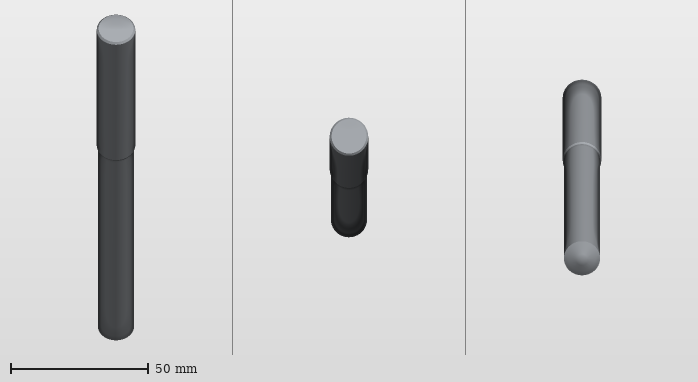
import cadquery as cq
import math

total_length = 176.0
shank_diameter = 14.0
cutter_diameter = 13.2
point_angle = 140.0

shank_length = 69.0
top_chamfer = 0.7
taper_height = 1.0
neck_length = 1.0

shank_radius = shank_diameter / 2
cutter_radius = cutter_diameter / 2
point_height = cutter_radius / math.tan(math.radians(point_angle / 2))
taper_bottom = total_length - shank_length
cutter_top = taper_bottom - neck_length


def revolve_about_z(profile):
    """Turn a closed (radius, height) outline into a solid of revolution about Z."""
    return cq.Workplane("XZ").polyline(profile).close().revolve(360, (0, 0, 0), (0, 1, 0))


def make_shank():
    """Clamping shank with a chamfered top, a lower taper and a short neck."""
    return revolve_about_z([
        (0, cutter_top),
        (cutter_radius, cutter_top),
        (cutter_radius, taper_bottom),
        (shank_radius, taper_bottom + taper_height),
        (shank_radius, total_length - top_chamfer),
        (shank_radius - top_chamfer, total_length),
        (0, total_length),
    ])


def make_cutter():
    """Cylindrical cutting length ending in a conical drill point."""
    return revolve_about_z([
        (0, 0),
        (cutter_radius, point_height),
        (cutter_radius, cutter_top),
        (0, cutter_top),
    ])


shank = make_shank()
cutter = make_cutter()

result = cq.Compound.makeCompound([shank.val(), cutter.val()])